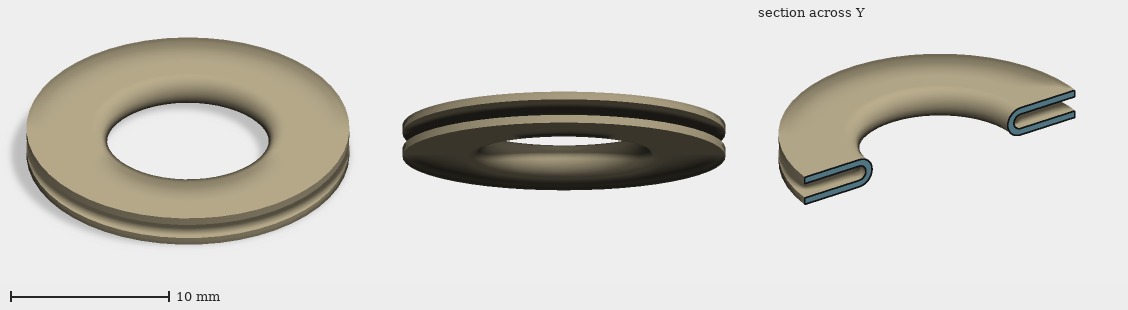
import cadquery as cq

outer_diameter = 20.4
bore_diameter = 10.2
height = 2.0

wall = height / 4
outer_radius = outer_diameter / 2
bore_radius = bore_diameter / 2
throat_radius = height / 2
groove_radius = throat_radius - wall
bend_center = bore_radius + throat_radius

profile = (
    cq.Workplane("XZ")
    .moveTo(outer_radius, throat_radius)
    .lineTo(bend_center, throat_radius)
    .threePointArc((bore_radius, 0), (bend_center, -throat_radius))
    .lineTo(outer_radius, -throat_radius)
    .lineTo(outer_radius, -groove_radius)
    .lineTo(bend_center, -groove_radius)
    .threePointArc((bend_center - groove_radius, 0), (bend_center, groove_radius))
    .lineTo(outer_radius, groove_radius)
    .close()
)

result = profile.revolve(360, (0, 0, 0), (0, 1, 0))